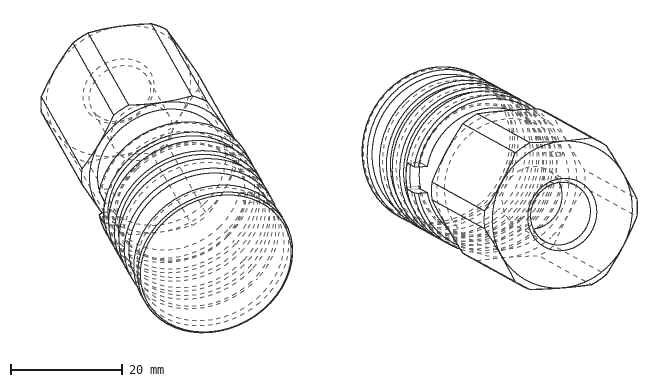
import cadquery as cq
import math

total_length = 63.6

hex_length = 28.1
hex_across_flats = 27.0
hex_corner_diameter = 29.5
hex_face_diameter = 26.95
hex_chamfer_angle = 30.0

neck_diameter = 24.0

sleeve_start = 36.75
sleeve_diameter = 29.0
groove_diameter = 27.5
lead_chamfer = 0.6
groove_spans = [(41.1, 44.2), (47.95, 50.9)]
grip_start = 54.4
grip_end = 60.6
grip_slope = 0.45
end_chamfer = 0.4
neck_clearance = 0.25

notch_width = 4.85
notch_length = 4.15
notch_corner_radius = 0.4

bore_diameter = 11.5
bore_mouth_diameter = 13.3
bore_depth = 15.25


def cylinder(start, end, diameter):
    return cq.Workplane("YZ", origin=(start, 0, 0)).circle(diameter / 2).extrude(end - start)


def revolve_profile(points):
    """Turn an (x, radius) outline about the X axis."""
    return cq.Workplane("XZ").polyline(points).close().revolve(360, (0, 0, 0), (1, 0, 0))


def make_hex_end():
    face_radius = hex_face_diameter / 2
    corner_radius = hex_corner_diameter / 2
    chamfer_length = (corner_radius - face_radius) * math.tan(math.radians(hex_chamfer_angle))
    turned_blank = revolve_profile([
        (0, 0),
        (0, face_radius),
        (chamfer_length, corner_radius),
        (hex_length - chamfer_length, corner_radius),
        (hex_length, face_radius),
        (hex_length, 0),
    ])
    sharp_corner_diameter = hex_across_flats / math.cos(math.pi / 6)
    prism = cq.Workplane("YZ").polygon(6, sharp_corner_diameter).extrude(hex_length)
    return turned_blank.intersect(prism)


def make_sleeve():
    outer_radius = sleeve_diameter / 2
    groove_radius = groove_diameter / 2
    outline = [
        (sleeve_start, 0),
        (sleeve_start, outer_radius - lead_chamfer),
        (sleeve_start + lead_chamfer, outer_radius),
    ]
    for start, end in groove_spans:
        outline += [
            (start, outer_radius),
            (start, groove_radius),
            (end, groove_radius),
            (end, outer_radius),
        ]
    outline += [
        (grip_start, outer_radius),
        (grip_start + grip_slope, groove_radius),
        (grip_end - grip_slope, groove_radius),
        (grip_end, outer_radius),
        (total_length - end_chamfer, outer_radius),
        (total_length, outer_radius - end_chamfer),
        (total_length, 0),
    ]
    return revolve_profile(outline)


def make_front_opening():
    """Thin gap around the neck, joined by a notch through the sleeve wall on each Y side."""
    gap_diameter = neck_diameter + 2 * neck_clearance
    gap = cylinder(sleeve_start, sleeve_start + notch_length, gap_diameter)
    notches = (
        cq.Workplane("XY", origin=(sleeve_start + notch_length / 2, 0, 0))
        .box(notch_length, 2 * sleeve_diameter, notch_width)
        .edges("|Y and >X")
        .fillet(notch_corner_radius)
    )
    return gap.union(notches)


def make_bore():
    bore_radius = bore_diameter / 2
    mouth_radius = bore_mouth_diameter / 2
    return revolve_profile([
        (0, 0),
        (0, mouth_radius),
        (mouth_radius - bore_radius, bore_radius),
        (bore_depth, bore_radius),
        (bore_depth, 0),
    ])


neck = cylinder(hex_length, sleeve_start + notch_length, neck_diameter)
sleeve = make_sleeve().cut(make_front_opening())
result = make_hex_end().union(neck).union(sleeve).cut(make_bore())